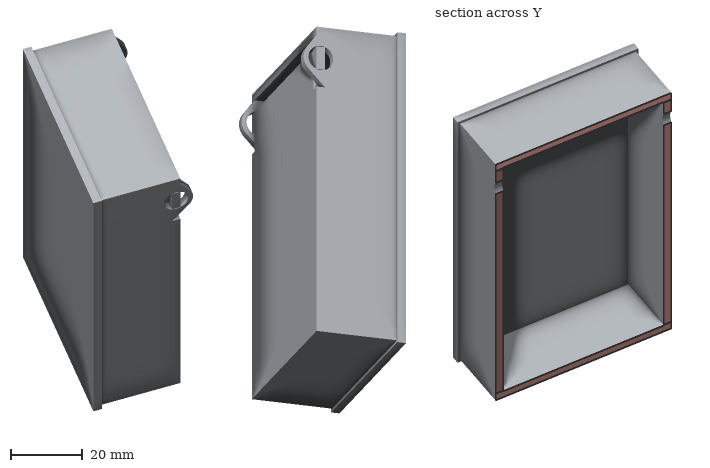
import cadquery as cq
import math

sheet = 2.5
plate_width = 58.7
plate_height = 92.3
overhang = 0.8
box_depth = 26.0
total_depth = 29.8

front_tab_length = 16.8
side_tab_pitch = 31.9
corner_tab_start = 4.25
corner_tab_end = 20.1

hinge_z = 36.1
hinge_hole_radius = 3.6
shoulder_z = 27.5

box_width = plate_width - 2 * overhang
box_height = plate_height - 2 * overhang
inner_width = box_width - 2 * sheet
inner_height = box_height - 2 * sheet
lid_inner_y = box_depth - sheet
hinge_y = box_depth - sheet / 2
lug_radius = total_depth - hinge_y
wall_centre_x = (box_width - sheet) / 2
wall_centre_z = (box_height - sheet) / 2
end_tab_x = (inner_width - front_tab_length) / 2
tongue_half_height = math.sqrt(hinge_hole_radius**2 - (sheet / 2) ** 2)

side_tab_centres = [
    (x, z) for x in (-wall_centre_x, wall_centre_x) for z in (-side_tab_pitch, 0, side_tab_pitch)
]
end_tab_centres = [(x, z) for x in (-end_tab_x, end_tab_x) for z in (-wall_centre_z, wall_centre_z)]


def block(x_range, y_range, z_range):
    """Box between the given limits."""
    (x0, x1), (y0, y1), (z0, z1) = x_range, y_range, z_range
    return cq.Workplane("XY").box(x1 - x0, y1 - y0, z1 - z0, centered=False).translate((x0, y0, z0))


def front_tab(x, z, width, height):
    """Finger as deep as the front plate, centred at x, z."""
    return block((x - width / 2, x + width / 2), (0, sheet), (z - height / 2, z + height / 2))


def side_front_tab(x, z):
    """Finger of a side wall, long in Z."""
    return front_tab(x, z, sheet, front_tab_length)


def end_front_tab(x, z):
    """Finger of the top or bottom panel, long in X."""
    return front_tab(x, z, front_tab_length, sheet)


def make_front_plate():
    """Rectangular plate with a slot for every finger of the walls."""
    plate = block(
        (-plate_width / 2, plate_width / 2), (0, sheet), (-plate_height / 2, plate_height / 2)
    )
    for x, z in side_tab_centres:
        plate = plate.cut(side_front_tab(x, z))
    for x, z in end_tab_centres:
        plate = plate.cut(end_front_tab(x, z))
    return plate


def lug_tangent_point(y, z, turn):
    """Point where the line from (y, z) touches the lug circle; turn picks the side of the circle."""
    distance = math.hypot(y - hinge_y, z - hinge_z)
    angle = math.atan2(z - hinge_z, y - hinge_y) + turn * math.acos(lug_radius / distance)
    return hinge_y + lug_radius * math.cos(angle), hinge_z + lug_radius * math.sin(angle)


def make_side(direction):
    """Side wall with a hinge lug; direction is -1 for the -X wall and 1 for the +X wall."""
    lower_corner = (lid_inner_y, shoulder_z)
    upper_corner = (box_depth, inner_height / 2)
    wall = (
        cq.Workplane("YZ")
        .moveTo(sheet, -inner_height / 2)
        .lineTo(lid_inner_y, -inner_height / 2)
        .lineTo(*lower_corner)
        .lineTo(*lug_tangent_point(*lower_corner, 1))
        .threePointArc((hinge_y + lug_radius, hinge_z), lug_tangent_point(*upper_corner, -1))
        .lineTo(*upper_corner)
        .lineTo(sheet, inner_height / 2)
        .close()
        .extrude(sheet / 2, both=True)
        .translate((direction * wall_centre_x, 0, 0))
    )
    x_range = (direction * wall_centre_x - sheet / 2, direction * wall_centre_x + sheet / 2)
    wall = wall.union(
        block(x_range, (corner_tab_start, corner_tab_end), (-box_height / 2, box_height / 2))
    )
    for x, z in side_tab_centres:
        if x * direction > 0:
            wall = wall.union(side_front_tab(x, z))
    hinge_hole = (
        cq.Workplane("YZ")
        .center(hinge_y, hinge_z)
        .circle(hinge_hole_radius)
        .extrude(box_width / 2, both=True)
    )
    return wall.cut(hinge_hole)


def make_end_panel(direction, back_y):
    """Top (direction 1) or bottom (-1) panel, reaching back to back_y."""
    centre_z = direction * wall_centre_z
    z_range = (centre_z - sheet / 2, centre_z + sheet / 2)
    panel = block((-inner_width / 2, inner_width / 2), (sheet, back_y), z_range)
    for y_range in ((sheet, corner_tab_start), (corner_tab_end, back_y)):
        panel = panel.union(block((-box_width / 2, box_width / 2), y_range, z_range))
    for x, z in end_tab_centres:
        if z * direction > 0:
            panel = panel.union(end_front_tab(x, z))
    return panel


def make_lid():
    """Back lid, full width up to the shoulders, then narrow with a hinge tongue on each side."""
    y_range = (lid_inner_y, box_depth)
    tongue_bottom = hinge_z - tongue_half_height
    tongue_top = hinge_z + tongue_half_height
    cover = block((-box_width / 2, box_width / 2), y_range, (-box_height / 2, shoulder_z))
    neck = block((-inner_width / 2, inner_width / 2), y_range, (shoulder_z, tongue_top))
    tongues = block((-box_width / 2, box_width / 2), y_range, (tongue_bottom, tongue_top))
    return cover.union(neck).union(tongues)


front_plate = make_front_plate()
sides = [make_side(direction) for direction in (-1, 1)]
top_panel = make_end_panel(1, box_depth)
bottom_panel = make_end_panel(-1, lid_inner_y)
lid = make_lid()

result = cq.Compound.makeCompound(
    [
        front_plate.val(),
        *[side.val() for side in sides],
        top_panel.val(),
        bottom_panel.val(),
        lid.val(),
    ]
)